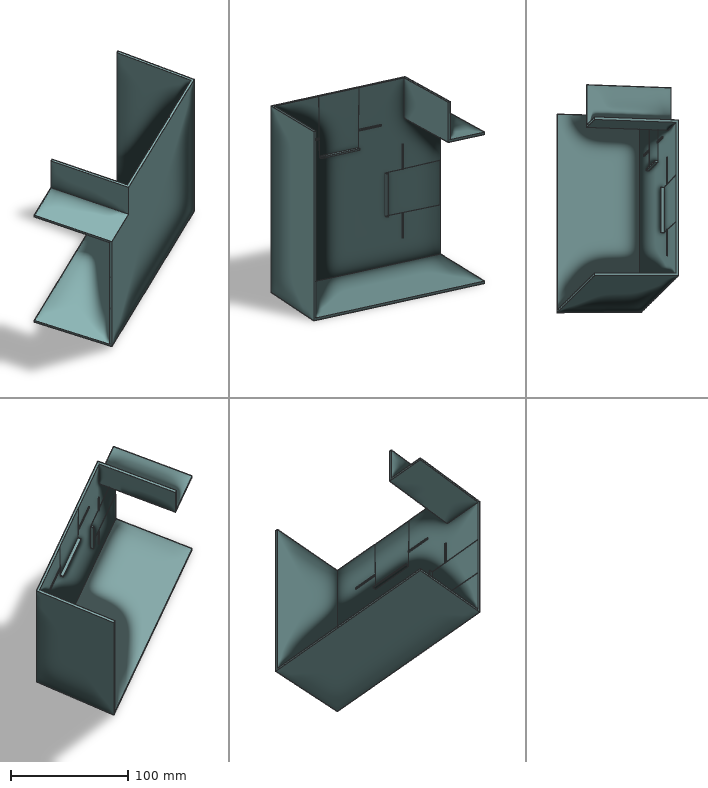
import cadquery as cq

side = 172.5
depth = 73.0
wall = 2.2
notch = 34.5
draft = 2.6
half = side / 2
floor_x = depth - wall

arm_centre = 69.9
lip_distance = 54.5
lip_width = 39.3
lip_thickness = 1.4
lip_height = 2.8
rib_distance = 38.5
rib_length = 85.5
rib_thickness = 1.4
rib_height = 0.7
pad_end_width = 40.7
pad_depth = 0.2


def elbow_section(x, long_wall_inset, notch_size, end_overrun=0.0):
    """Elbow outline in the YZ plane at the given X."""
    outer_y = half - long_wall_inset
    outer_z = -half + long_wall_inset
    end_y = -half - end_overrun
    end_z = half + end_overrun
    step_y = -half + notch_size
    step_z = half - notch_size
    points = [
        (outer_y, outer_z),
        (outer_y, end_z),
        (step_y, end_z),
        (step_y, step_z),
        (end_y, step_z),
        (end_y, outer_z),
    ]
    return cq.Wire.makePolygon([cq.Vector(x, y, z) for y, z in points], close=True)


def elbow_solid(length, inset, notch_size, end_overrun=0.0):
    """Elbow block from X = 0, with its long walls leaning inwards along X."""
    lean = draft * length / depth
    sections = [
        elbow_section(0, inset, notch_size, end_overrun),
        elbow_section(length, inset + lean, notch_size, end_overrun),
    ]
    return cq.Workplane(obj=cq.Solid.makeLoft(sections, True))


def other_arm(shape):
    """Mirror a detail of the upright arm across the elbow diagonal."""
    return shape.rotate((0, 0, 0), (1, 0, 0), 90).mirror("XY")


def floor_bar(length, thickness, height, z):
    """Bar across the upright arm, sunk into the floor for a sound joint."""
    bar = cq.Workplane().box(height + wall / 2, length, thickness, centered=(False, True, True))
    return bar.translate((floor_x - height, half - arm_centre, z))


def pad_recess():
    """Shallow pad in the floor, narrowing from the arm end to the lip."""
    centre_y = half - arm_centre
    lip_z = half - lip_distance
    return (
        cq.Workplane("YZ", origin=(floor_x - rib_height, 0, 0))
        .polyline([
            (centre_y - pad_end_width / 2, half),
            (centre_y + pad_end_width / 2, half),
            (centre_y + lip_width / 2, lip_z),
            (centre_y - lip_width / 2, lip_z),
        ])
        .close()
        .extrude(rib_height + pad_depth)
    )


cavity = elbow_solid(floor_x, wall, notch + wall, end_overrun=wall)
result = elbow_solid(depth, 0, notch).cut(cavity)

rib = floor_bar(rib_length, rib_thickness, rib_height, half - rib_distance)
lip = floor_bar(lip_width, lip_thickness, lip_height, half - lip_distance - lip_thickness / 2)
pad = pad_recess()

for place in (lambda shape: shape, other_arm):
    result = result.union(place(rib)).cut(place(pad)).union(place(lip))